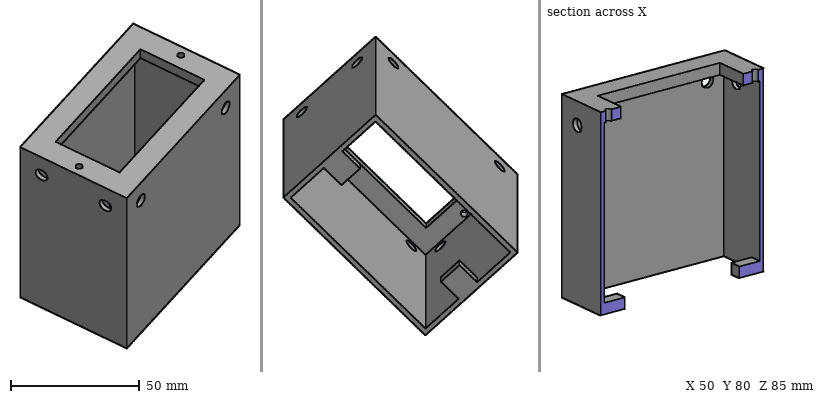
import cadquery as cq

width = 50.0
depth = 80.0
height = 85

rim_width = 10.0
rim_height = 5.0
wall = 2.0

side_hole_diameter = 5.5
side_hole_inset = rim_width
side_hole_drop = side_hole_inset

screw_hole_diameter = 2.7
screw_hole_inset = 4.0

tab_width = 10.0
tab_overhang = 1.95
tab_height = 5.0


def make_shell():
    """Box open at the bottom, with a rim that overhangs the cavity at the top."""
    cavity = cq.Workplane("XY").box(
        width - 2 * wall, depth - 2 * wall, height - rim_height, centered=(True, True, False)
    )
    opening = cq.Workplane("XY").box(
        width - 2 * rim_width, depth - 2 * rim_width, height, centered=(True, True, False)
    )
    shell = cq.Workplane("XY").box(width, depth, height, centered=(True, True, False))
    return shell.cut(cavity).cut(opening)


def make_tabs():
    """Tabs on the two end walls, reaching past the edge of the rim opening."""
    length = rim_width + tab_overhang
    offset = (depth - length) / 2
    return (
        cq.Workplane("XY")
        .pushPoints([(0, -offset), (0, offset)])
        .rect(tab_width, length)
        .extrude(tab_height)
    )


def make_side_holes(plane, spacing, length):
    """A pair of level holes running straight through the box."""
    level = height - side_hole_drop
    return (
        cq.Workplane(plane)
        .pushPoints([(-spacing / 2, level), (spacing / 2, level)])
        .circle(side_hole_diameter / 2)
        .extrude(length / 2, both=True)
    )


def make_screw_holes():
    """One hole down through the rim at each end."""
    offset = depth / 2 - screw_hole_inset
    return (
        cq.Workplane("XY", origin=(0, 0, height - rim_height))
        .pushPoints([(0, -offset), (0, offset)])
        .circle(screw_hole_diameter / 2)
        .extrude(rim_height)
    )


result = (
    make_shell()
    .union(make_tabs())
    .cut(make_side_holes("XZ", width - 2 * side_hole_inset, depth))
    .cut(make_side_holes("YZ", depth - 2 * side_hole_inset, width))
    .cut(make_screw_holes())
)